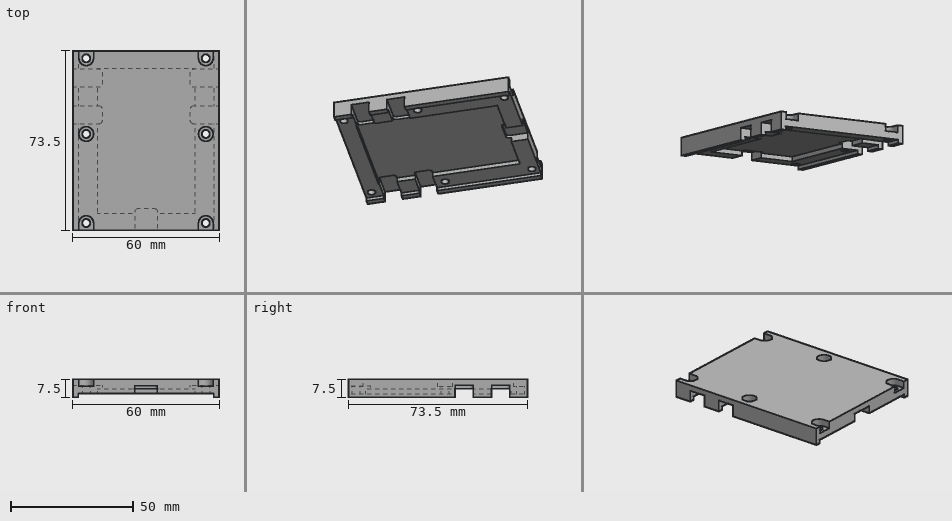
import cadquery as cq

LENGTH_X = 60.0
LENGTH_Y = 73.5
HEIGHT = 7.5

RAIL_WIDTH = 2.3
RAIL_HEIGHT = 1.5

CAVITY_ROOF_Z = 3.5
CAVITY_X = 40.0
CAVITY_END_WALL = 7.0

SIDE_BAY_ROOF_Z = 5.0
FRONT_BAY_ROOF_Z = 4.8
BAY_CORNER_RADIUS = 1.4
BAY_OVERLAP = 2.0
SIDE_BAY_WIDTH = 7.4
SIDE_BAY_PITCH = 15.0
FIRST_SIDE_BAY_TO_EDGE = 11.05
FRONT_BAY_WIDTH = 9.4

SCREW_DIAMETER = 3.2
HEAD_DIAMETER = 6.0
HEAD_DEPTH = 3.0
SCREW_X = 24.5
END_SCREW_TO_EDGE = 3.0
MIDDLE_SCREW_Y = 2.75

CAVITY_Y = LENGTH_Y - 2 * CAVITY_END_WALL
SIDE_BAY_DEPTH = (LENGTH_X - CAVITY_X) / 2 + BAY_OVERLAP
FRONT_BAY_DEPTH = CAVITY_END_WALL + BAY_OVERLAP
END_SCREW_Y = LENGTH_Y / 2 - END_SCREW_TO_EDGE


def block_from_base(size_x, size_y, height):
    """Box centred on the Z axis and standing on Z = 0."""
    return cq.Workplane("XY").box(size_x, size_y, height, centered=(True, True, False))


def connector_bay(width, depth, roof_z):
    """Bay running from the origin along +X and up from Z = 0, with rounded inner corners."""
    bay = cq.Workplane("XY").box(depth, width, roof_z, centered=(False, True, False))
    return bay.edges("|Z and >X").fillet(BAY_CORNER_RADIUS)


def screw_hole(x, y):
    """Through hole with a counterbore from the top face."""
    shank = cq.Workplane("XY").circle(SCREW_DIAMETER / 2).extrude(HEIGHT)
    head = cq.Workplane("XY", origin=(0, 0, HEIGHT)).circle(HEAD_DIAMETER / 2).extrude(-HEAD_DEPTH)
    return shank.union(head).translate((x, y, 0))


def head_slot(x, end_sign):
    """Opens an end counterbore out through the +Y (end_sign=1) or -Y (end_sign=-1) side."""
    slot = block_from_base(HEAD_DIAMETER, END_SCREW_TO_EDGE, HEAD_DEPTH)
    slot_y = end_sign * (LENGTH_Y - END_SCREW_TO_EDGE) / 2
    return slot.translate((x, slot_y, HEIGHT - HEAD_DEPTH))


result = block_from_base(LENGTH_X, LENGTH_Y, HEIGHT)
result = result.cut(block_from_base(LENGTH_X - 2 * RAIL_WIDTH, LENGTH_Y, RAIL_HEIGHT))
result = result.cut(block_from_base(CAVITY_X, CAVITY_Y, CAVITY_ROOF_Z))

for index in range(2):
    bay_y = LENGTH_Y / 2 - FIRST_SIDE_BAY_TO_EDGE - index * SIDE_BAY_PITCH
    side_bay = connector_bay(SIDE_BAY_WIDTH, SIDE_BAY_DEPTH, SIDE_BAY_ROOF_Z)
    side_bay = side_bay.translate((-LENGTH_X / 2, bay_y, 0))
    result = result.cut(side_bay).cut(side_bay.mirror("YZ"))

front_bay = connector_bay(FRONT_BAY_WIDTH, FRONT_BAY_DEPTH, FRONT_BAY_ROOF_Z)
front_bay = front_bay.rotate((0, 0, 0), (0, 0, 1), 90)
result = result.cut(front_bay.translate((0, -LENGTH_Y / 2, 0)))

for screw_x in (-SCREW_X, SCREW_X):
    result = result.cut(screw_hole(screw_x, MIDDLE_SCREW_Y))
    for end_sign in (-1, 1):
        result = result.cut(screw_hole(screw_x, end_sign * END_SCREW_Y))
        result = result.cut(head_slot(screw_x, end_sign))